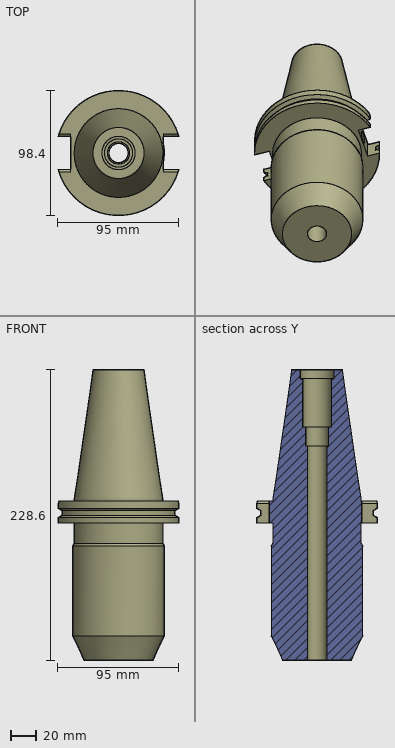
import cadquery as cq
import math


GAUGE_DIAMETER = 69.85
TAPER_LENGTH = 101.6
TAPER_RATIO = 7 / 24

FLANGE_DIAMETER = 98.42
FLANGE_TOP_Z = -1.5
FLANGE_BOTTOM_Z = -19.05
GROOVE_CENTRE_Z = -11.1125
GROOVE_WIDTH = 7.2
GROOVE_FLOOR_DIAMETER = 92.4
GROOVE_FLANK_ANGLE = 30.0

NOSE_Z = -127.0
NECK_DIAMETER = 70.0
BODY_DIAMETER = 72.2
SHOULDER_TOP_Z = -34.925
SHOULDER_CHAMFER_HEIGHT = 2.0
NOSE_CONE_HEIGHT = 19.2
NOSE_DIAMETER = 54.4

SLOT_WIDTH = 25.9
SLOT_CHAMFER = 2.0
SLOT_FLOOR_PLUS_X = 35.3
SLOT_FLOOR_MINUS_X = 37.7
DIMPLE_DIAMETER = 9.5
DIMPLE_DEPTH = 0.1

COUNTERBORE = (26.2, 7.0)
THREAD_BORE = (22.2, 45.0)
STEP_BORE = (17.5, 60.0)
THROUGH_BORE_DIAMETER = 15.0


def turned_body():
    """Revolve the outer profile: taper, flange, neck, body and nose cone."""
    gauge_radius = GAUGE_DIAMETER / 2
    taper_top_radius = gauge_radius - TAPER_LENGTH * TAPER_RATIO / 2
    flange_radius = FLANGE_DIAMETER / 2
    groove_radius = GROOVE_FLOOR_DIAMETER / 2
    groove_depth = flange_radius - groove_radius
    rim_half_width = GROOVE_WIDTH / 2
    floor_half_width = rim_half_width - groove_depth * math.tan(math.radians(GROOVE_FLANK_ANGLE))
    profile = [
        (0, TAPER_LENGTH),
        (taper_top_radius, TAPER_LENGTH),
        (gauge_radius, 0),
        (gauge_radius, FLANGE_TOP_Z),
        (flange_radius, FLANGE_TOP_Z),
        (flange_radius, GROOVE_CENTRE_Z + rim_half_width),
        (groove_radius, GROOVE_CENTRE_Z + floor_half_width),
        (groove_radius, GROOVE_CENTRE_Z - floor_half_width),
        (flange_radius, GROOVE_CENTRE_Z - rim_half_width),
        (flange_radius, FLANGE_BOTTOM_Z),
        (NECK_DIAMETER / 2, FLANGE_BOTTOM_Z),
        (NECK_DIAMETER / 2, SHOULDER_TOP_Z),
        (BODY_DIAMETER / 2, SHOULDER_TOP_Z - SHOULDER_CHAMFER_HEIGHT),
        (BODY_DIAMETER / 2, NOSE_Z + NOSE_CONE_HEIGHT),
        (NOSE_DIAMETER / 2, NOSE_Z),
        (0, NOSE_Z),
    ]
    return cq.Workplane("YZ").polyline(profile).close().revolve(360, (0, 0, 0), (0, 1, 0))


def drive_slot(floor_x):
    """Cutter for one drive slot, from its floor outwards, with chamfered top edges."""
    half_width = SLOT_WIDTH / 2
    half_mouth = half_width + SLOT_CHAMFER
    section = [
        (-half_width, FLANGE_BOTTOM_Z),
        (half_width, FLANGE_BOTTOM_Z),
        (half_width, FLANGE_TOP_Z - SLOT_CHAMFER),
        (half_mouth, FLANGE_TOP_Z),
        (-half_mouth, FLANGE_TOP_Z),
        (-half_width, FLANGE_TOP_Z - SLOT_CHAMFER),
    ]
    length = math.copysign(FLANGE_DIAMETER / 2, floor_x)
    return cq.Workplane("YZ", origin=(floor_x, 0, 0)).polyline(section).close().extrude(length)


def locating_dimple():
    """Cutter for the shallow round recess in the floor of the -X slot."""
    floor = cq.Workplane("YZ", origin=(-SLOT_FLOOR_MINUS_X, 0, GROOVE_CENTRE_Z))
    return floor.circle(DIMPLE_DIAMETER / 2).extrude(DIMPLE_DEPTH)


def axial_bore():
    """Cutter for the stepped hole along the axis, open at both ends."""
    top = cq.Workplane("XY", origin=(0, 0, TAPER_LENGTH))
    bore = top.circle(THROUGH_BORE_DIAMETER / 2).extrude(NOSE_Z - TAPER_LENGTH)
    for diameter, depth in (COUNTERBORE, THREAD_BORE, STEP_BORE):
        bore = bore.union(top.circle(diameter / 2).extrude(-depth))
    return bore


result = turned_body()
for slot_floor_x in (SLOT_FLOOR_PLUS_X, -SLOT_FLOOR_MINUS_X):
    result = result.cut(drive_slot(slot_floor_x))
result = result.cut(locating_dimple())
result = result.cut(axial_bore())